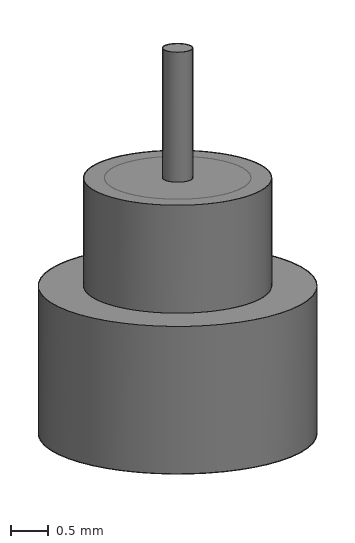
import cadquery as cq

total_height = 5.35
base_height = 2.05
collar_height = 1.5
collar_top = base_height + collar_height
pin_height = total_height - collar_top

base_diameter = 3.7
collar_diameter = 2.5
seal_diameter = 1.95
pin_diameter = 0.4


def cylinder(diameter, bottom, height):
    """Upright cylinder on the Z axis, starting at the given level."""
    return cq.Workplane("XY").workplane(offset=bottom).circle(diameter / 2).extrude(height)


base = cylinder(base_diameter, 0, base_height)
collar = cylinder(collar_diameter, base_height, collar_height)

seal = cylinder(seal_diameter, base_height, collar_height)
collar_ring = collar.cut(seal)

pin = cylinder(pin_diameter, collar_top, pin_height)

result = base
for piece in (collar_ring, seal, pin):
    result = result.union(piece, clean=False)